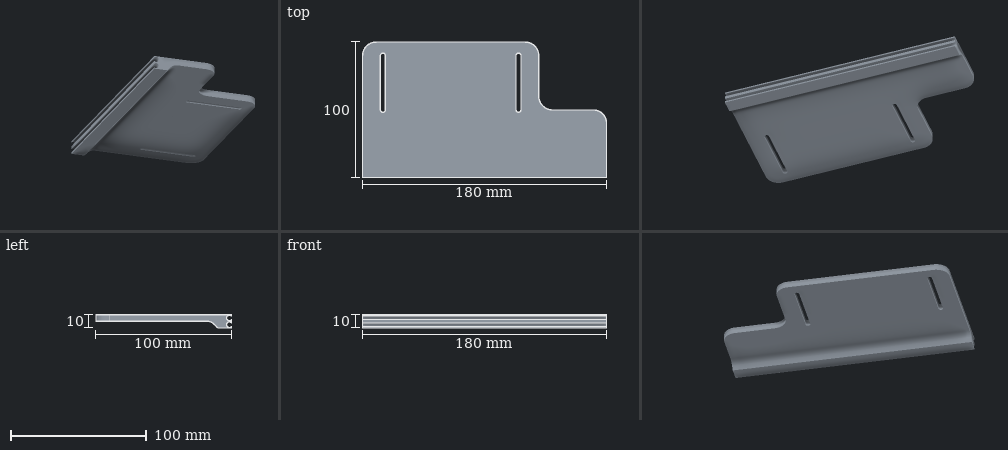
import cadquery as cq

LENGTH = 180.0
DEPTH = 100.0
STEP_X = 130.0
STEP_Y = 50.0
CORNER_RADIUS = 10.0

RAIL_HEIGHT = 10.0
PLATE_THICKNESS = 5.0
RAIL_FLAT = 10.0
RAMP_RUN = RAIL_HEIGHT - PLATE_THICKNESS
RAMP_FILLET = 7.5

GROOVE_RADIUS = 2.0
GROOVE_INSET = 1.5
GROOVE_COUNT = 2
GROOVE_PITCH = RAIL_HEIGHT / GROOVE_COUNT

SLOT_WIDTH = 3.5
SLOT_TRAVEL = 40.0
SLOT_INSET = 15.0
SLOT_CENTER_Y = 70.0
SLOT_ANGLE = 90.0


def make_outline():
    """L-shaped block of full height with its upright corners rounded."""
    block = (
        cq.Workplane("XY")
        .moveTo(0, 0)
        .lineTo(LENGTH, 0)
        .lineTo(LENGTH, STEP_Y)
        .lineTo(STEP_X, STEP_Y)
        .lineTo(STEP_X, DEPTH)
        .lineTo(0, DEPTH)
        .close()
        .extrude(RAIL_HEIGHT)
    )
    rounded_edges = block.edges("|Z").edges("not <Y")
    return rounded_edges.fillet(CORNER_RADIUS)


def make_section():
    """Side profile swept along X: flat rail, blended ramp and thin plate."""
    underside_z = RAIL_HEIGHT - PLATE_THICKNESS
    ramp_top_y = RAIL_FLAT + RAMP_RUN
    section = (
        cq.Workplane("YZ")
        .moveTo(0, 0)
        .lineTo(RAIL_FLAT, 0)
        .lineTo(ramp_top_y, underside_z)
        .lineTo(DEPTH, underside_z)
        .lineTo(DEPTH, RAIL_HEIGHT)
        .lineTo(0, RAIL_HEIGHT)
        .close()
        .extrude(LENGTH)
    )
    ramp_top = cq.selectors.NearestToPointSelector((LENGTH / 2, ramp_top_y, underside_z))
    return section.edges("|X").edges(ramp_top).fillet(RAMP_FILLET)


def make_grooves():
    """Cylinders that run the full length of the front edge."""
    centers = [(GROOVE_INSET, (i + 0.5) * GROOVE_PITCH) for i in range(GROOVE_COUNT)]
    return cq.Workplane("YZ").pushPoints(centers).circle(GROOVE_RADIUS).extrude(LENGTH)


def make_slots():
    """Round-ended slots, set in equally from both sides of the deep part of the plate."""
    centers = [(x, SLOT_CENTER_Y) for x in (SLOT_INSET, STEP_X - SLOT_INSET)]
    return (
        cq.Workplane("XY")
        .pushPoints(centers)
        .slot2D(SLOT_TRAVEL + SLOT_WIDTH, SLOT_WIDTH, SLOT_ANGLE)
        .extrude(RAIL_HEIGHT)
    )


result = make_outline().intersect(make_section()).cut(make_grooves()).cut(make_slots())